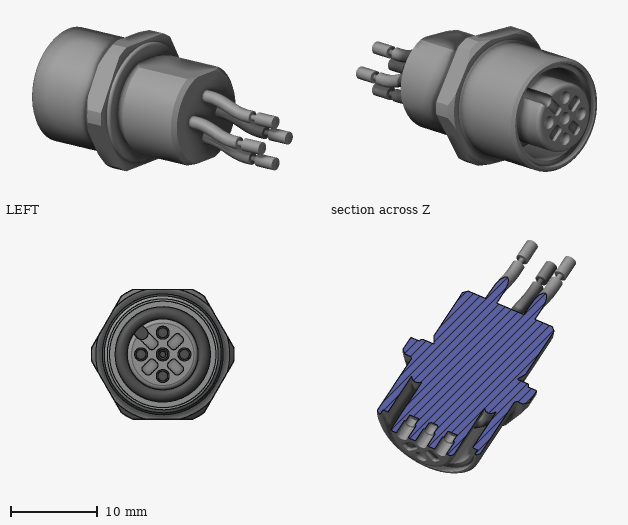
import cadquery as cq
import math

shell_front = 1.5
hex_front = 10.5
hex_back = 13.0
flange_back = 13.4
cone_end = 14.45
body_back = 22.0
bend_start = 22.6
bend_end = 28.1
jacket_end = 28.8
tip_start = 29.65
wire_end = 32.15

shell_diameter = 13.5
shell_chamfer = 0.35
mouth_diameter = 12.3
mouth_depth = 0.7
bore_diameter = 11.0
cavity_floor = 9.0
collar_diameter = 13.95
collar_length = 0.2

hex_across_flats = 15.0
hex_corner_diameter = 16.5
hex_chamfer = 0.52
flange_diameter = 14.25
flange_fillet = 0.35

body_diameter = 12.0
body_across_flats = 10.5
body_neck_diameter = 11.0
body_chamfer = 0.5

ring_section = 1.5
ring_outer_diameter = bore_diameter

insert_diameter = 8.2
insert_fillet = 0.5
contact_radius = 2.5
contact_hole = 1.5
contact_depth = 2.0
socket_bore = 1.15
socket_depth = 1.0
center_floor_diameter = 0.7
center_cone_depth = 0.2
slot_width = 1.25
slot_inner_radius = 1.15
slot_outer_radius = 3.0
slot_corner = 0.38
slot_depth = 0.5
slot_angles = (135, 225, 315)
key_width = 1.4
key_center_radius = 3.4
key_angle = 45

wire_diameter = 1.5
core_diameter = 0.7
wire_drop = 1.2

overlap = 0.2

outer_contacts = []
for quarter in range(4):
    angle = quarter * math.pi / 2
    outer_contacts.append((contact_radius * math.cos(angle), contact_radius * math.sin(angle)))


def rod(diameter, start, end, y=0.0, z=0.0):
    """Cylinder along X between two axial positions."""
    return (
        cq.Workplane("YZ", origin=(start, y, z))
        .circle(diameter / 2)
        .extrude(end - start)
    )


def revolved(profile):
    """Solid of revolution about X from (axial position, radius) points."""
    return (
        cq.Workplane("XY")
        .polyline(profile)
        .close()
        .revolve(360, (0, 0, 0), (1, 0, 0))
    )


def make_shell():
    shell = rod(shell_diameter, shell_front, hex_front + overlap)
    shell = shell.faces("<X").chamfer(shell_chamfer)
    collar = revolved([
        (hex_front - collar_length, 0),
        (hex_front - collar_length, shell_diameter / 2),
        (hex_front, collar_diameter / 2),
        (hex_front + overlap, collar_diameter / 2),
        (hex_front + overlap, 0),
    ])
    return shell.union(collar)


def make_hex_flange():
    across_corners = hex_across_flats / math.cos(math.pi / 6)
    hexagon = (
        cq.Workplane("YZ", origin=(hex_front, 0, 0))
        .polygon(6, across_corners)
        .extrude(hex_back - hex_front)
    )
    envelope = rod(hex_corner_diameter, hex_front, hex_back)
    envelope = envelope.faces("<X").chamfer(hex_chamfer)
    flange = rod(flange_diameter, hex_back - overlap, flange_back)
    flange = flange.faces(">X").edges().fillet(flange_fillet)
    return hexagon.intersect(envelope).union(flange)


def make_rear_body():
    turned = revolved([
        (flange_back - overlap, 0),
        (flange_back - overlap, body_neck_diameter / 2),
        (flange_back, body_neck_diameter / 2),
        (cone_end, body_diameter / 2),
        (body_back - body_chamfer, body_diameter / 2),
        (body_back, body_diameter / 2 - body_chamfer),
        (body_back, 0),
    ])
    flats = cq.Workplane("XY").box(2 * body_back, body_diameter, body_across_flats)
    return turned.intersect(flats)


def cut_cavity(body):
    mouth = rod(mouth_diameter, shell_front, shell_front + mouth_depth)
    bore = rod(bore_diameter, shell_front, cavity_floor)
    return body.cut(mouth).cut(bore)


def make_seal_ring():
    """O-ring resting on the cavity floor, with a solid backing that joins it to the floor."""
    ring_center = ring_outer_diameter / 2 - ring_section / 2
    ring_x = cavity_floor - ring_section / 2
    ring = (
        cq.Workplane("XY")
        .center(ring_x, ring_center)
        .circle(ring_section / 2)
        .revolve(360, (0, -ring_center, 0), (1, -ring_center, 0))
    )
    backing = rod(ring_outer_diameter, ring_x, cavity_floor + overlap)
    return ring.union(backing)


def make_slot(angle, outer_radius):
    length = outer_radius - slot_inner_radius
    return (
        cq.Workplane("XY")
        .box(slot_depth, length, slot_width, centered=(False, False, True))
        .edges("|X")
        .fillet(slot_corner)
        .translate((0, slot_inner_radius, 0))
        .rotate((0, 0, 0), (1, 0, 0), angle)
    )


def make_keyway():
    """Round-bottomed groove along the insert, open to its outer surface."""
    length = cavity_floor - ring_section
    groove = rod(key_width, 0, length, key_center_radius)
    opening = (
        cq.Workplane("XY")
        .box(length, insert_diameter / 2, key_width, centered=(False, False, True))
        .translate((0, key_center_radius, 0))
    )
    return groove.union(opening).rotate((0, 0, 0), (1, 0, 0), key_angle)


def make_insert():
    insert = rod(insert_diameter, 0, cavity_floor + overlap)
    insert = insert.faces("<X").edges().fillet(insert_fillet)
    bore_end = contact_depth + socket_depth
    for y, z in [(0, 0)] + outer_contacts:
        insert = insert.cut(rod(contact_hole, 0, contact_depth, y, z))
        insert = insert.cut(rod(socket_bore, contact_depth, bore_end, y, z))
    insert = insert.cut(revolved([
        (bore_end, 0),
        (bore_end, socket_bore / 2),
        (bore_end + center_cone_depth, center_floor_diameter / 2),
        (bore_end + center_cone_depth, 0),
    ]))
    for angle in slot_angles:
        insert = insert.cut(make_slot(angle, slot_outer_radius))
    insert = insert.cut(make_slot(key_angle, key_center_radius))
    return insert.cut(make_keyway())


def make_wire(y, z):
    """Insulated wire with an S-bend, a stripped stretch of core and an insulated tip."""
    end_z = z - wire_drop
    bend = (
        cq.Workplane("XZ", origin=(0, y, 0))
        .spline([(bend_start, z), (bend_end, end_z)], tangents=[(1, 0), (1, 0)])
    )
    bent = (
        cq.Workplane("YZ", origin=(bend_start, y, z))
        .circle(wire_diameter / 2)
        .sweep(bend)
    )
    root = rod(wire_diameter, body_back - overlap, bend_start, y, z)
    jacket = rod(wire_diameter, bend_end, jacket_end, y, end_z)
    core = rod(core_diameter, jacket_end - overlap, tip_start + overlap, y, end_z)
    tip = rod(wire_diameter, tip_start, wire_end, y, end_z)
    return root.union(bent).union(jacket).union(core).union(tip)


housing = make_shell().union(make_hex_flange()).union(make_rear_body())
housing = cut_cavity(housing)
result = housing.union(make_seal_ring()).union(make_insert())
for wire_y, wire_z in outer_contacts:
    result = result.union(make_wire(wire_y, wire_z))